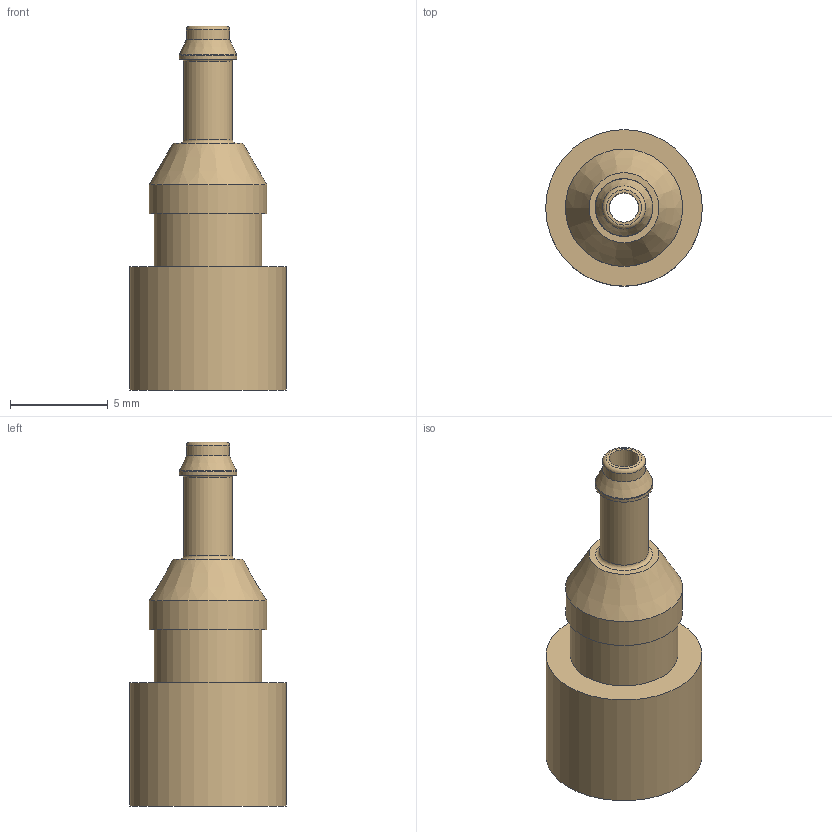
import cadquery as cq
import math

base_diameter = 8.0
neck_diameter = 5.5
collar_diameter = 6.0
stem_diameter = 2.5
barb_diameter = 2.95
tip_diameter = 2.2
bore_diameter = 1.5

base_top = 6.3
neck_top = 9.0
collar_top = 10.5
shoulder_top = 12.6
barb_bottom = 16.9
barb_rim_top = 17.1
barb_top = 17.9
total_height = 18.6

shoulder_angle = 30.0
shoulder_run = (shoulder_top - collar_top) * math.tan(math.radians(shoulder_angle))

stem_root_fillet = 0.2
barb_underside_fillet = 0.1
barb_rim_fillet = 0.1
tip_fillet = 0.2

selection_margin = 0.01


def make_body():
    """Revolve the stepped outer profile around the Z axis."""
    base_radius = base_diameter / 2
    neck_radius = neck_diameter / 2
    collar_radius = collar_diameter / 2
    stem_radius = stem_diameter / 2
    barb_radius = barb_diameter / 2
    tip_radius = tip_diameter / 2

    profile = [
        (0, 0),
        (base_radius, 0),
        (base_radius, base_top),
        (neck_radius, base_top),
        (neck_radius, neck_top),
        (collar_radius, neck_top),
        (collar_radius, collar_top),
        (collar_radius - shoulder_run, shoulder_top),
        (stem_radius, shoulder_top),
        (stem_radius, barb_bottom),
        (barb_radius, barb_bottom),
        (barb_radius, barb_rim_top),
        (tip_radius, barb_top),
        (tip_radius, total_height),
        (0, total_height),
    ]
    return cq.Workplane("XZ").polyline(profile).close().revolve(360, (0, 0), (0, 1))


def fillet_circle(body, diameter, height, fillet_radius):
    """Round the circular edge of the given diameter at the given height."""
    reach = diameter / 2 + selection_margin
    slab = cq.selectors.BoxSelector(
        (-reach, -reach, height - selection_margin),
        (reach, reach, height + selection_margin),
        boundingbox=True,
    )
    return body.edges(slab).edges("%CIRCLE").fillet(fillet_radius)


def cut_bore(body):
    """Drill the flow passage through the full length."""
    bore = cq.Workplane("XY").circle(bore_diameter / 2).extrude(total_height)
    return body.cut(bore)


body = make_body()
body = fillet_circle(body, stem_diameter, shoulder_top, stem_root_fillet)
body = fillet_circle(body, stem_diameter, barb_bottom, barb_underside_fillet)
body = fillet_circle(body, barb_diameter, barb_rim_top, barb_rim_fillet)
body = fillet_circle(body, tip_diameter, total_height, tip_fillet)
result = cut_bore(body)